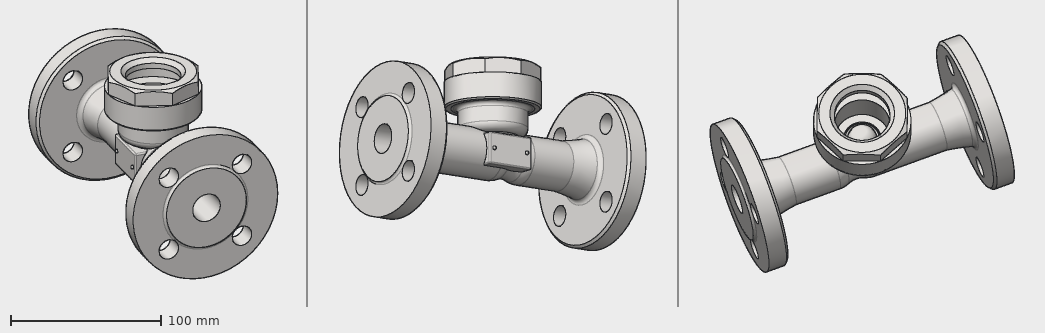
import cadquery as cq
import math

overall_length = 180.0
overall_height = 113.5
pipe_diameter = 34.0
bore_diameter = 20.0
bore_depth = 54.0

flange_diameter = 105.0
flange_chamfer = 1.8
flange_thickness = 14.4
raised_face_height = 1.8
raised_face_diameter = 58.0
bolt_hole_diameter = 14.0
bolt_circle_diameter = 75.0
bolt_count = 4

hub_length = 17.0
hub_end_diameter = 40.7
hub_curve_radius = 162.0
hub_fillet_length = 2.7
hub_fillet_rise = 3.5

waist_centre_x = 9.7
waist_half_length = 12.6
waist_valley_half_length = 6.0
waist_depth = 2.5

stem_diameter = 32.4
stem_top_z = 11.5
neck_diameter = 47.0
neck_bottom_z = 12.8
neck_bottom_radius = 6.0
neck_top_radius = 2.9
collar_diameter = 56.0
collar_bottom_z = 32.0
collar_top_z = 43.5
chamber_diameter = 37.0
chamber_floor_z = 21.6

dome_diameter = 20.0
seat_inner_diameter = 23.0
seat_outer_diameter = 25.0
seat_height = 0.9

plate_length = 34.2
plate_height = 22.0
plate_front_y = -20.5
plate_edge_radius = 1.0
rivet_diameter = 2.7
rivet_spacing = 26.6

nut_diameter = 65.0
nut_sides = 8
nut_top_z = overall_height - flange_diameter / 2
nut_flats_bottom_z = 50.0
nut_bottom_chamfer = 1.0
nut_top_chamfer_diameter = 58.0
nut_top_chamfer_angle = 30.0
nut_roof_thickness = 6.8
nut_opening_diameter = 37.0
nut_countersink_diameter = 43.0
nut_countersink_depth = 3.0

half_length = overall_length / 2
pipe_radius = pipe_diameter / 2
flange_outer_x = half_length - raised_face_height
flange_inner_x = flange_outer_x - flange_thickness
hub_end_x = flange_inner_x - hub_fillet_length
hub_start_x = hub_end_x - hub_length


def end_fitting():
    """Hub, flange and raised face at the +X end, from the middle of the pipe outward."""
    hub_radius = hub_end_diameter / 2
    flange_radius = flange_diameter / 2
    face_radius = raised_face_diameter / 2
    profile = (
        cq.Workplane("XY")
        .lineTo(0, pipe_radius)
        .lineTo(hub_start_x, pipe_radius)
        .radiusArc((hub_end_x, hub_radius), -hub_curve_radius)
        .tangentArcPoint((flange_inner_x, hub_radius + hub_fillet_rise), relative=False)
        .lineTo(flange_inner_x, flange_radius - flange_chamfer)
        .lineTo(flange_inner_x + flange_chamfer, flange_radius)
        .lineTo(flange_outer_x, flange_radius)
        .lineTo(flange_outer_x, face_radius + raised_face_height)
        .radiusArc((half_length, face_radius), -raised_face_height)
        .lineTo(half_length, 0)
        .close()
    )
    fitting = profile.revolve(360, (0, 0, 0), (1, 0, 0))
    bolt_holes = (
        cq.Workplane("YZ")
        .workplane(offset=flange_inner_x)
        .polarArray(bolt_circle_diameter / 2, 180 / bolt_count, 360, bolt_count)
        .circle(bolt_hole_diameter / 2)
        .extrude(half_length - flange_inner_x)
    )
    bore = (
        cq.Workplane("YZ")
        .workplane(offset=half_length - bore_depth)
        .circle(bore_diameter / 2)
        .extrude(bore_depth)
    )
    return fitting.cut(bolt_holes).cut(bore)


def pipe_waist():
    """Ring of material removed around the pipe: a concave valley between two convex shoulders."""
    shoulder_share = 1 - waist_valley_half_length / waist_half_length
    shoulder_radius = pipe_radius - waist_depth * shoulder_share
    shoulder_run = waist_half_length - waist_valley_half_length
    shoulder_drop = pipe_radius - shoulder_radius
    shoulder_arc = (shoulder_run**2 + shoulder_drop**2) / (2 * shoulder_drop)
    start_x = waist_centre_x - waist_half_length
    end_x = waist_centre_x + waist_half_length
    return (
        cq.Workplane("XY")
        .moveTo(start_x, pipe_radius)
        .radiusArc((start_x + shoulder_run, shoulder_radius), shoulder_arc)
        .threePointArc((waist_centre_x, pipe_radius - waist_depth), (end_x - shoulder_run, shoulder_radius))
        .radiusArc((end_x, pipe_radius), shoulder_arc)
        .close()
        .revolve(360, (0, 0, 0), (1, 0, 0))
    )


def neck():
    """Bowl-shaped neck with its collar, standing on the pipe."""
    stem_radius = stem_diameter / 2
    neck_radius = neck_diameter / 2
    collar_radius = collar_diameter / 2
    return (
        cq.Workplane("XZ")
        .lineTo(stem_radius, 0)
        .lineTo(stem_radius, stem_top_z)
        .lineTo(neck_radius - neck_bottom_radius, neck_bottom_z)
        .radiusArc((neck_radius, neck_bottom_z + neck_bottom_radius), -neck_bottom_radius)
        .lineTo(neck_radius, collar_bottom_z - neck_top_radius)
        .radiusArc((neck_radius + neck_top_radius, collar_bottom_z), neck_top_radius)
        .lineTo(collar_radius, collar_bottom_z)
        .lineTo(collar_radius, collar_top_z)
        .lineTo(0, collar_top_z)
        .close()
        .revolve(360, (0, 0, 0), (0, 1, 0))
    )


def chamber():
    """Open chamber in the neck, with a groove in its floor between the dome and the seat ring."""
    dome_radius = dome_diameter / 2
    seat_inner_radius = seat_inner_diameter / 2
    seat_outer_radius = seat_outer_diameter / 2
    chamber_radius = chamber_diameter / 2
    groove_radius = (seat_inner_radius - dome_radius) / 2
    seat_top_z = chamber_floor_z + seat_height
    return (
        cq.Workplane("XZ")
        .moveTo(0, collar_top_z)
        .lineTo(0, chamber_floor_z + dome_radius)
        .radiusArc((dome_radius, chamber_floor_z), dome_radius)
        .radiusArc((seat_inner_radius, chamber_floor_z), -groove_radius)
        .lineTo(seat_inner_radius, seat_top_z)
        .lineTo(seat_outer_radius, seat_top_z)
        .lineTo(seat_outer_radius, chamber_floor_z)
        .lineTo(chamber_radius, chamber_floor_z)
        .lineTo(chamber_radius, collar_top_z)
        .close()
        .revolve(360, (0, 0, 0), (0, 1, 0))
    )


def nameplate():
    """Rectangular pad on the -Y side of the pipe, with rounded edges and two domed rivets."""
    pad = (
        cq.Workplane("XZ")
        .rect(plate_length, plate_height)
        .extrude(-plate_front_y)
        .edges("|Y or <Y")
        .fillet(plate_edge_radius)
    )
    for side in (-1, 1):
        rivet_centre = (side * rivet_spacing / 2, plate_front_y, 0)
        pad = pad.union(cq.Workplane("XY").sphere(rivet_diameter / 2).translate(rivet_centre))
    return pad


def make_valve_body():
    """Flanged pipe with neck, chamber and nameplate."""
    right_end = end_fitting()
    left_end = right_end.mirror("YZ")
    pipe = right_end.union(left_end).cut(pipe_waist())
    return pipe.union(nameplate()).union(neck()).cut(chamber())


def make_cap_nut():
    """Octagonal nut over the collar, round below the flats and open at the top."""
    nut = (
        cq.Workplane("XY")
        .workplane(offset=collar_bottom_z)
        .circle(nut_diameter / 2)
        .extrude(nut_flats_bottom_z - collar_bottom_z)
        .faces("<Z")
        .chamfer(nut_bottom_chamfer)
    )
    flats = (
        cq.Workplane("XY")
        .workplane(offset=nut_flats_bottom_z)
        .polygon(nut_sides, nut_diameter)
        .extrude(nut_top_z - nut_flats_bottom_z)
    )

    outer_radius = nut_diameter / 2
    top_radius = nut_top_chamfer_diameter / 2
    bevel_drop = (outer_radius - top_radius) * math.tan(math.radians(nut_top_chamfer_angle))
    bevel_envelope = (
        cq.Workplane("XZ")
        .moveTo(0, nut_flats_bottom_z)
        .lineTo(outer_radius, nut_flats_bottom_z)
        .lineTo(outer_radius, nut_top_z - bevel_drop)
        .lineTo(top_radius, nut_top_z)
        .lineTo(0, nut_top_z)
        .close()
        .revolve(360, (0, 0, 0), (0, 1, 0))
    )
    nut = nut.union(flats.intersect(bevel_envelope))

    opening_radius = nut_opening_diameter / 2
    countersink_bottom_z = nut_top_z - nut_countersink_depth
    roof_z = nut_top_z - nut_roof_thickness
    cavity = (
        cq.Workplane("XZ")
        .moveTo(0, collar_bottom_z)
        .lineTo(collar_diameter / 2, collar_bottom_z)
        .lineTo(collar_diameter / 2, roof_z)
        .lineTo(opening_radius, roof_z)
        .lineTo(opening_radius, countersink_bottom_z)
        .lineTo(nut_countersink_diameter / 2, nut_top_z)
        .lineTo(0, nut_top_z)
        .close()
        .revolve(360, (0, 0, 0), (0, 1, 0))
    )
    return nut.cut(cavity)


valve_body = make_valve_body()
cap_nut = make_cap_nut()
result = cq.Compound.makeCompound([valve_body.solids().val(), cap_nut.solids().val()])